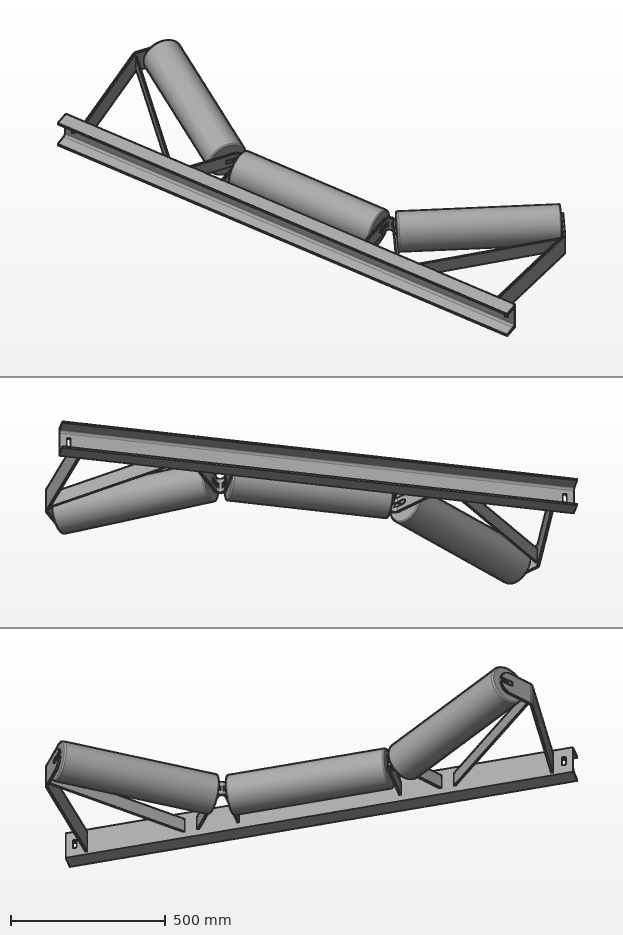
import cadquery as cq
import math


beam_length = 1700.0
beam_height = 100.0
beam_depth = 51.0
web_thickness = 7.0
flange_thickness = 8.0
flange_slope = 0.08
root_radius = 8.0
mount_slot_width = 14.0
mount_slot_length = 34.0
mount_slot_from_end = 30.0

roller_diameter = 133.0
roller_length = 530.0
roller_edge_radius = 5.0
trough_angle = 35.0
middle_roller_y = 165.0
side_roller_x = 537.0
side_roller_y = 337.0
shaft_height = 22.0
shaft_width = 15.0
shaft_overhang = 2.0

plate_thickness = 7.0
outer_bracket_width = 80.0
inner_bracket_width = 51.0
roller_gap = 2.5
bracket_offset = roller_length / 2 + roller_gap + plate_thickness / 2
shaft_end = bracket_offset + plate_thickness / 2 + shaft_overhang
inner_bend_radius = 17.0
outer_bend_radius = 17.0
outer_bend_below_axis = 92.0
outer_tip_above_axis = 35.0
outer_tip_corner_radius = 37.0
outer_leg_lean = 5.0

brace_thickness = 5.0
brace_width = inner_bracket_width
brace_foot_x = 454.0
brace_head_above_bend = 3.0

along_roller = cq.Vector(math.cos(math.radians(trough_angle)), math.sin(math.radians(trough_angle)), 0)
across_roller = cq.Vector(-along_roller.y, along_roller.x, 0)
side_roller_centre = cq.Vector(side_roller_x, side_roller_y, 0)
outer_seat = side_roller_centre + along_roller * bracket_offset
inner_seat = side_roller_centre - along_roller * bracket_offset
middle_seat = cq.Vector(bracket_offset, middle_roller_y, 0)
outer_bend = outer_seat - across_roller * outer_bend_below_axis


def point_at_height(point, direction, y):
    """Where the line through a point reaches the given Y."""
    return point + direction * ((y - point.y) / direction.y)


def mirrored(body):
    """Copy of a body on the -X side."""
    return body.mirror("YZ")


def above_beam(body):
    """Trim the feet of a body flush with the back of the beam."""
    room = cq.Workplane("XY").box(beam_length, beam_length, beam_length, centered=(True, False, True))
    return body.intersect(room.translate((0, beam_depth, 0)))


def in_plane(point):
    """X and Y of a point."""
    return (point.x, point.y)


def bent_plate(start, corner, end, bend_radius, width):
    """Plate whose centreline runs start - corner - end, with a round bend of the given centreline radius."""
    half = plate_thickness / 2
    to_start = (start - corner).normalized()
    to_end = (end - corner).normalized()
    inward = (to_start + to_end).normalized()
    half_angle = to_start.getAngle(to_end) / 2
    bend_centre = corner + inward * (bend_radius / math.sin(half_angle))
    tangent_length = bend_radius / math.tan(half_angle)
    start_normal = (corner + to_start * tangent_length - bend_centre).normalized()
    end_normal = (corner + to_end * tangent_length - bend_centre).normalized()
    outside = bend_radius + half
    inside = bend_radius - half

    return (
        cq.Workplane("XY")
        .moveTo(*in_plane(start + start_normal * half))
        .lineTo(*in_plane(bend_centre + start_normal * outside))
        .threePointArc(
            in_plane(bend_centre - inward * outside),
            in_plane(bend_centre + end_normal * outside),
        )
        .lineTo(*in_plane(end + end_normal * half))
        .lineTo(*in_plane(end - end_normal * half))
        .lineTo(*in_plane(bend_centre + end_normal * inside))
        .threePointArc(
            in_plane(bend_centre - inward * inside),
            in_plane(bend_centre + start_normal * inside),
        )
        .lineTo(*in_plane(start - start_normal * half))
        .close()
        .extrude(width / 2, both=True)
    )


def shaft_slot(seat, axis, open_direction):
    """Cutter for an open-topped slot with a round seat that fits a flat-sided shaft end."""
    reach = roller_diameter / 2
    seat_plane = cq.Plane(origin=seat.toTuple(), xDir=open_direction.toTuple(), normal=axis.toTuple())
    depth = plate_thickness
    seat_shape = cq.Workplane(seat_plane).slot2D(shaft_height, shaft_width).extrude(depth, both=True)
    throat = cq.Workplane(seat_plane).center(reach / 2, 0).rect(reach, shaft_width).extrude(depth, both=True)
    return seat_shape.union(throat)


def make_beam():
    half_height = beam_height / 2
    web_face = beam_depth - web_thickness
    tip_inner_z = half_height - flange_thickness + flange_slope * beam_depth / 2
    root_inner_z = tip_inner_z - flange_slope * web_face
    beam = (
        cq.Workplane("YZ")
        .polyline([
            (0, half_height),
            (beam_depth, half_height),
            (beam_depth, -half_height),
            (0, -half_height),
            (0, -tip_inner_z),
            (web_face, -root_inner_z),
            (web_face, root_inner_z),
            (0, tip_inner_z),
        ])
        .close()
        .extrude(beam_length / 2, both=True)
    )
    root_edges = cq.selectors.BoxSelector(
        (-beam_length, web_face - root_radius / 2, -root_inner_z - root_radius / 2),
        (beam_length, web_face + root_radius / 2, root_inner_z + root_radius / 2),
    )
    beam = beam.edges("|X").edges(root_edges).fillet(root_radius)
    slot_x = beam_length / 2 - mount_slot_from_end
    mount_slots = (
        cq.Workplane("XZ")
        .pushPoints([(-slot_x, 0), (slot_x, 0)])
        .slot2D(mount_slot_length, mount_slot_width, 90)
        .extrude(-beam_depth)
    )
    return beam.cut(mount_slots)


def make_roller():
    """Roller along X with its centre at the origin and the shaft flats facing +Z and -Z."""
    shell = cq.Workplane("YZ", (-roller_length / 2, 0, 0)).circle(roller_diameter / 2).extrude(roller_length)
    shell = shell.edges().fillet(roller_edge_radius)
    shaft = cq.Workplane("YZ", (-shaft_end, 0, 0)).slot2D(shaft_height, shaft_width).extrude(2 * shaft_end)
    return shell.union(shaft)


def make_side_roller():
    tilted = make_roller().rotate((0, 0, 0), (0, 0, 1), trough_angle)
    return tilted.translate(side_roller_centre.toTuple())


def make_outer_bracket():
    lean = math.radians(outer_leg_lean)
    leg_direction = cq.Vector(math.sin(lean), math.cos(lean), 0)
    foot = point_at_height(outer_bend, leg_direction, 0)
    tip = outer_seat + across_roller * outer_tip_above_axis
    bracket = bent_plate(foot, outer_bend, tip, outer_bend_radius, outer_bracket_width)
    tip_box_half = cq.Vector(1, 1, 1) * outer_bracket_width
    tip_corners = cq.selectors.BoxSelector(
        (tip - tip_box_half).toTuple(),
        (tip + tip_box_half).toTuple(),
    )
    across_thickness = cq.selectors.ParallelDirSelector(along_roller)
    bracket = bracket.edges(across_thickness).edges(tip_corners).fillet(outer_tip_corner_radius)
    return above_beam(bracket.cut(shaft_slot(outer_seat, along_roller, across_roller)))


def make_inner_bracket():
    up = cq.Vector(0, 1, 0)
    along_x = cq.Vector(1, 0, 0)
    slope = across_roller.y / across_roller.x
    crown = cq.Vector(middle_seat.x, inner_seat.y + slope * (middle_seat.x - inner_seat.x), 0)
    middle_foot = point_at_height(crown, up, 0)
    side_foot = point_at_height(crown, across_roller, 0)
    bracket = bent_plate(middle_foot, crown, side_foot, inner_bend_radius, inner_bracket_width)
    bracket = bracket.cut(shaft_slot(middle_seat, along_x, up))
    bracket = bracket.cut(shaft_slot(inner_seat, along_roller, across_roller))
    return above_beam(bracket)


def make_brace(bracket):
    """Flat bar from the inside of the outer bracket's bend down to the beam."""
    foot = cq.Vector(brace_foot_x, beam_depth, 0)
    head = outer_bend + across_roller * brace_head_above_bend
    direction = (head - foot).normalized()
    low_end = point_at_height(foot, direction, 0)
    bar_plane = cq.Plane(origin=low_end.toTuple(), xDir=(0, 0, 1), normal=direction.toTuple())
    bar = cq.Workplane(bar_plane).rect(brace_width, brace_thickness).extrude((head - low_end).Length)
    return above_beam(bar.cut(bracket))


beam = make_beam()
middle_roller = make_roller().translate((0, middle_roller_y, 0))
side_roller = make_side_roller()
outer_bracket = make_outer_bracket()
inner_bracket = make_inner_bracket()
brace = make_brace(outer_bracket)

bodies = [beam.val(), middle_roller.val()]
for right_body in (side_roller, outer_bracket, inner_bracket, brace):
    bodies.append(right_body.val())
    bodies.append(mirrored(right_body).val())

result = cq.Compound.makeCompound(bodies)